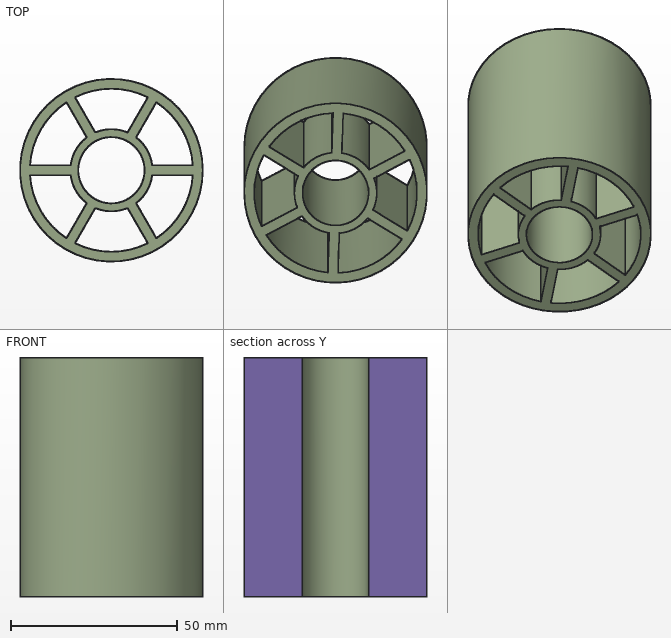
import cadquery as cq

length = 72.0
outer_diameter = 55.0

rim_thickness = 3.0
bore_diameter = 19.9
hub_thickness = 2.45
spoke_width = 3.0
spoke_count = 6

rim_inner_diameter = outer_diameter - 2 * rim_thickness
hub_diameter = bore_diameter + 2 * hub_thickness


def tube(outer, inner):
    """Full-length tube standing on the XY plane."""
    return cq.Workplane("XY").circle(outer / 2).circle(inner / 2).extrude(length)


def spoke(angle):
    """Radial web running from mid-wall of the hub to mid-wall of the rim."""
    start = (bore_diameter + hub_thickness) / 2
    end = (outer_diameter - rim_thickness) / 2
    web = cq.Workplane("XY").center((start + end) / 2, 0).rect(end - start, spoke_width).extrude(length)
    return web.rotate((0, 0, 0), (0, 0, 1), angle)


result = tube(outer_diameter, rim_inner_diameter).union(tube(hub_diameter, bore_diameter))
for index in range(spoke_count):
    result = result.union(spoke(index * 360 / spoke_count))